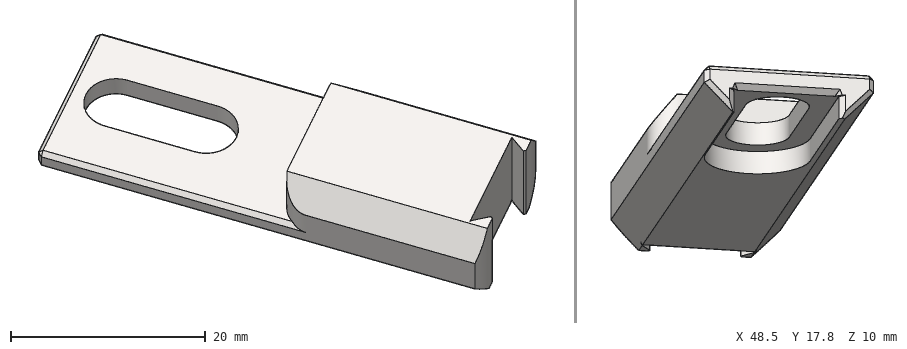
import cadquery as cq
import math

length = 48.5
width = 17.75
height = 10.0
half_width = width / 2

bottom_bevel = 3.0
top_bevel_width = 2.5
top_bevel_height = 3.0

tongue_length = 26.5
tongue_thickness = 4.8
tongue_chamfer = 0.5
block_corner_radius = 3.0

bolt_line_y = 0.25
slot_width = 6.6
slot_length = 16.5
slot_start = 1.95
slot_center_x = slot_start + slot_length / 2
slot_far_arc_x = slot_start + slot_length - slot_width / 2

channel_half_width = 5.5
channel_depth = 2.4
mouth_chamfer = 0.6
mouth_corner_width = 0.25
mouth_corner_inset = 0.2

end_corner_radius = 6.5
end_flat_half_width = 6.6
notch_depth = 2.0
notch_floor_half_width = 6.05
notch_mouth_half_width = 4.75
hook_tip_length = 0.25
hook_tip_slant = 0.15


def mirrored_outline(half_outline):
    """Close a half outline of (y, z) points by adding its mirror image in Y."""
    return half_outline + [(-y, z) for y, z in reversed(half_outline)]


def bevelled_bar():
    """Full-length bar with bevelled lower and upper edges."""
    half_section = [
        (half_width - bottom_bevel, 0),
        (half_width, bottom_bevel),
        (half_width, height - top_bevel_height),
        (half_width - top_bevel_width, height),
    ]
    return cq.Workplane("YZ").polyline(mirrored_outline(half_section)).close().extrude(length)


def tongue(bar):
    """Lower layer of the bar, chamfered along its top sides and around its front face."""
    lower_space = cq.Workplane("XY").box(length, width, tongue_thickness, centered=(False, True, False))
    layer = bar.intersect(lower_space)
    top_side_edges = layer.edges("|X and >Z")
    front_edges = layer.faces("<X").edges("not <Z")
    return top_side_edges.add(front_edges).chamfer(tongue_chamfer)


def raised_block(bar):
    """Full-height rear part of the bar with rounded front corners."""
    envelope = (
        cq.Workplane("XY", origin=(tongue_length, 0, 0))
        .box(length - tongue_length, width, height, centered=(False, True, False))
        .edges("|Z and <X")
        .fillet(block_corner_radius)
    )
    return bar.intersect(envelope)


def end_envelope():
    """Plan outline of the whole bar with the rounded outer corners of the far end."""

    def corner_x(y):
        rise = y - end_flat_half_width
        return length - end_corner_radius + math.sqrt(end_corner_radius**2 - rise**2)

    middle_y = (end_flat_half_width + half_width) / 2
    return (
        cq.Workplane("XY")
        .moveTo(0, -half_width)
        .lineTo(corner_x(half_width), -half_width)
        .threePointArc((corner_x(middle_y), -middle_y), (length, -end_flat_half_width))
        .lineTo(length, end_flat_half_width)
        .threePointArc((corner_x(middle_y), middle_y), (corner_x(half_width), half_width))
        .lineTo(0, half_width)
        .close()
        .extrude(height)
    )


def dovetail_notch():
    """Full-height dovetail notch that leaves a blunt-tipped hook on each side."""
    upper_side = [
        (length - notch_depth, notch_floor_half_width),
        (length - hook_tip_length, notch_mouth_half_width),
        (length, notch_mouth_half_width + hook_tip_slant),
    ]
    lower_side = [(x, -y) for x, y in reversed(upper_side)]
    return cq.Workplane("XY").polyline(upper_side + lower_side).close().extrude(height)


def bolt_slot():
    """Obround slot through the tongue."""
    return (
        cq.Workplane("XY", origin=(slot_center_x, bolt_line_y, 0))
        .slot2D(slot_length, slot_width)
        .extrude(tongue_thickness)
    )


def head_channel():
    """Channel open at the front; its round end is concentric with the far end of the slot."""
    return (
        cq.Workplane("XY", origin=(0, bolt_line_y, 0))
        .moveTo(0, -channel_half_width)
        .lineTo(slot_far_arc_x, -channel_half_width)
        .threePointArc((slot_far_arc_x + channel_half_width, 0), (slot_far_arc_x, channel_half_width))
        .lineTo(0, channel_half_width)
        .close()
        .extrude(channel_depth)
    )


def mouth_taper(outer_half, inner_half):
    """Taper from an outline on the front face to one a chamfer length inside the channel."""
    return (
        cq.Workplane("YZ", origin=(0, bolt_line_y, 0))
        .polyline(mirrored_outline(outer_half))
        .close()
        .workplane(offset=mouth_chamfer)
        .polyline(mirrored_outline(inner_half))
        .close()
        .loft(ruled=True)
    )


def channel_mouth():
    """Chamfered channel mouth: two side chamfers, a ceiling chamfer and small corner facets."""
    sides = mouth_taper(
        [(channel_half_width + mouth_chamfer, 0), (channel_half_width + mouth_chamfer, channel_depth)],
        [(channel_half_width, 0), (channel_half_width, channel_depth)],
    )
    outer_corner_y = channel_half_width + mouth_corner_width
    inner_corner_y = outer_corner_y - mouth_chamfer + mouth_corner_inset
    ceiling = mouth_taper(
        [
            (outer_corner_y, 0),
            (outer_corner_y, channel_depth),
            (channel_half_width, channel_depth + mouth_chamfer),
        ],
        [
            (inner_corner_y, 0),
            (inner_corner_y, channel_depth - mouth_chamfer),
            (inner_corner_y - mouth_corner_width, channel_depth),
        ],
    )
    return sides.union(ceiling)


bar = bevelled_bar()
result = (
    tongue(bar)
    .union(raised_block(bar))
    .intersect(end_envelope())
    .cut(dovetail_notch())
    .cut(bolt_slot())
    .cut(head_channel())
    .cut(channel_mouth())
)